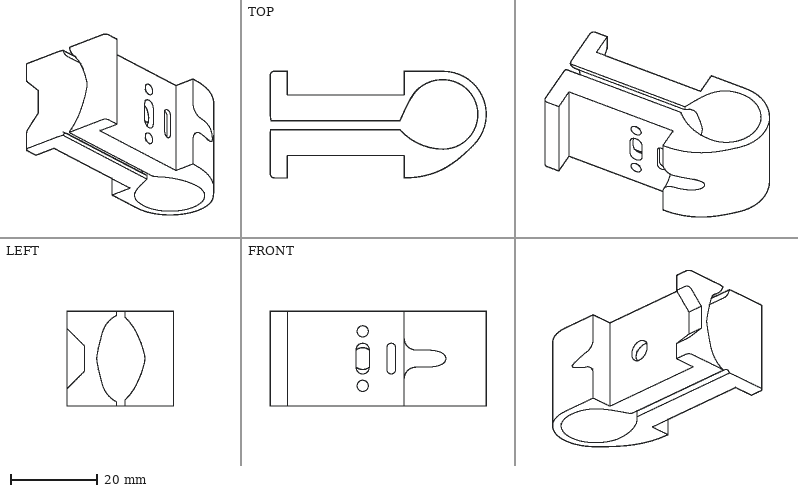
import cadquery as cq
import math

LENGTH = 50.0
HEIGHT = 22.0
HALF_WIDTH_BACK = 12.5
HALF_WIDTH_FRONT = 12.2
SLIT_WIDTH = 2.0

ARM_HALF_WIDTH = 7.0
FLANGE_THICKNESS = 4.0
FLANGE_FILLET = 1.0

EYE_START_X = 31.0
EYE_RADIUS = 10.0
EYE_WALL = 2.0
EYE_HOLE_RADIUS = EYE_RADIUS - EYE_WALL
EYE_X = LENGTH - EYE_RADIUS
EYE_Y = HALF_WIDTH_BACK - EYE_RADIUS
EYE_MOUTH_X = 30.0
EYE_MOUTH_SLOPE = 2.1
EYE_BARREL_DEPTH = 0.4
EYE_BARREL_HALF_HEIGHT = 10.0

BORE_HALF_WIDTH = 5.65
BORE_HALF_HEIGHT = 10.4
BORE_SIDE_Z = 3.0
BORE_SIDE_Y_BACK = 5.07
BORE_SIDE_Y_FRONT = 4.85
BORE_SHOULDER_Z = 6.0
BORE_SHOULDER_Y_BACK = 4.3
BORE_SHOULDER_Y_FRONT = 3.6
BORE_TIP_FILLET = 4.0
BORE_FLARE = 1.7

GROOVE_RADIUS = 2.0
GROOVE_FLOOR_Y = 9.8
GROOVE_AXIS_Y = GROOVE_FLOOR_Y + GROOVE_RADIUS
GROOVE_FLARE = 2.7

NOTCH_FLOOR_Y = 8.4
NOTCH_FLOOR_HALF_HEIGHT = 2.9

WINDOW_X = 21.4
WINDOW_WIDTH = 3.05
WINDOW_HEIGHT = 7.1
PIN_HOLE_DIAMETER = 2.6
PIN_HOLE_Z = 6.3
PIN_HOLE_DEPTH = 2.0
SHORT_SLOT_X = 28.0
SHORT_SLOT_WIDTH = 2.0
SHORT_SLOT_DEPTH = 1.0
BACK_HOLE_DIAMETER = 5.0


def extrude_full_height(profile):
    return profile.extrude(HEIGHT).translate((0, 0, -HEIGHT / 2))


def box_between(x0, x1, y0, y1, z0, z1):
    box = cq.Workplane("XY").box(x1 - x0, y1 - y0, z1 - z0, centered=False)
    return box.translate((x0, y0, z0))


def make_body():
    """Flange, arms and eye as one outline, with the outer flange edges rounded."""
    diagonal = math.sqrt(0.5)
    blend_x = EYE_X + EYE_RADIUS * diagonal
    blend_y = EYE_Y - EYE_RADIUS * diagonal
    outline = (
        cq.Workplane("XY")
        .moveTo(0, -HALF_WIDTH_FRONT)
        .lineTo(FLANGE_THICKNESS, -HALF_WIDTH_FRONT)
        .lineTo(FLANGE_THICKNESS, -ARM_HALF_WIDTH)
        .lineTo(EYE_START_X, -ARM_HALF_WIDTH)
        .lineTo(EYE_START_X, -HALF_WIDTH_FRONT)
        .spline([(blend_x, blend_y)], tangents=[(1, 0), (1, 1)], includeCurrent=True)
        .threePointArc((LENGTH, EYE_Y), (EYE_X, HALF_WIDTH_BACK))
        .lineTo(EYE_START_X, HALF_WIDTH_BACK)
        .lineTo(EYE_START_X, ARM_HALF_WIDTH)
        .lineTo(FLANGE_THICKNESS, ARM_HALF_WIDTH)
        .lineTo(FLANGE_THICKNESS, HALF_WIDTH_BACK)
        .lineTo(0, HALF_WIDTH_BACK)
        .close()
    )
    body = extrude_full_height(outline)
    return body.edges("|Z and <X").fillet(FLANGE_FILLET)


def make_eye_hole():
    """Drop-shaped hole through the eye, narrowing to the slit at its mouth."""
    half_slit = SLIT_WIDTH / 2
    top_y = EYE_Y + EYE_HOLE_RADIUS
    bottom_y = EYE_Y - EYE_HOLE_RADIUS
    run = EYE_X - EYE_MOUTH_X
    drop = -half_slit - bottom_y
    front_radius = (run**2 + drop**2) / (2 * drop)
    half_turn = math.asin(run / front_radius) / 2
    front_mid = (
        EYE_X - front_radius * math.sin(half_turn),
        bottom_y + front_radius * (1 - math.cos(half_turn)),
    )
    outline = (
        cq.Workplane("XY")
        .moveTo(EYE_MOUTH_X, -half_slit)
        .threePointArc(front_mid, (EYE_X, bottom_y))
        .threePointArc((EYE_X + EYE_HOLE_RADIUS, EYE_Y), (EYE_X, top_y))
        .spline(
            [(EYE_MOUTH_X, half_slit)],
            tangents=[(-1, 0), (-1, -EYE_MOUTH_SLOPE)],
            includeCurrent=True,
        )
        .close()
    )
    return extrude_full_height(outline)


def make_eye_barrel():
    """Shallow barrel-shaped relief inside the eye, leaving a narrow band at each rim."""
    section = (
        cq.Workplane("XZ")
        .moveTo(0, -EYE_BARREL_HALF_HEIGHT)
        .lineTo(EYE_HOLE_RADIUS, -EYE_BARREL_HALF_HEIGHT)
        .threePointArc(
            (EYE_HOLE_RADIUS + EYE_BARREL_DEPTH, 0),
            (EYE_HOLE_RADIUS, EYE_BARREL_HALF_HEIGHT),
        )
        .lineTo(0, EYE_BARREL_HALF_HEIGHT)
        .close()
    )
    return section.revolve(360, (0, 0, 0), (0, 1, 0)).translate((EYE_X, EYE_Y, 0))


def make_slit():
    half_slit = SLIT_WIDTH / 2
    return box_between(0, EYE_MOUTH_X, -half_slit, half_slit, -HEIGHT / 2, HEIGHT / 2)


def make_bore_quarter(side_y, shoulder_y):
    """Upper +Y quarter of the bore, from the flange face to the centre of the eye."""
    return (
        cq.Workplane("YZ")
        .moveTo(BORE_HALF_WIDTH, 0)
        .threePointArc((side_y, BORE_SIDE_Z), (shoulder_y, BORE_SHOULDER_Z))
        .tangentArcPoint((0, BORE_HALF_HEIGHT), relative=False)
        .lineTo(0, 0)
        .close()
        .extrude(EYE_X)
    )


def make_bore(side_y, shoulder_y):
    """Symmetric pointed-oval bore into the eye, rounded outwards at the flange face."""
    quarter = make_bore_quarter(side_y, shoulder_y)
    upper_half = quarter.union(quarter.mirror("XZ"))
    bore = upper_half.union(upper_half.mirror("XY"))
    block_size = HEIGHT * 2
    block = cq.Workplane("XY").box(EYE_X, block_size, block_size, centered=(False, True, True))
    reach = HEIGHT / 2
    margin = SLIT_WIDTH / 2
    mouth_edges = cq.selectors.BoxSelector(
        (-margin, -reach, -reach), (margin, reach, reach), boundingbox=True
    )
    side_creases = cq.selectors.BoxSelector((0, -reach, -margin), (EYE_X, reach, margin))
    sleeve = block.cut(bore).edges(mouth_edges).fillet(BORE_FLARE)
    sleeve = sleeve.edges("|X").edges(side_creases).fillet(BORE_TIP_FILLET)
    return block.cut(sleeve)


def make_combined_bore():
    """Bore whose +Y and -Y halves come from two slightly different ovals."""
    back_space = box_between(0, EYE_X, 0, HEIGHT, -HEIGHT, HEIGHT)
    back = make_bore(BORE_SIDE_Y_BACK, BORE_SHOULDER_Y_BACK).intersect(back_space)
    front = make_bore(BORE_SIDE_Y_FRONT, BORE_SHOULDER_Y_FRONT).cut(back_space)
    return back.union(front)


def make_groove(side, end_x, end_radius):
    """Round groove along one side of the eye, flared at its start.

    side is +1 for the back and -1 for the front; an end_radius of 0 tapers it to a point.
    """
    axis_y = side * GROOVE_AXIS_Y
    mouth_radius = GROOVE_RADIUS + GROOVE_FLARE
    throat_x = EYE_START_X + GROOVE_FLARE
    diagonal = GROOVE_FLARE * math.sqrt(0.5)
    half_section = (
        cq.Workplane("XY")
        .moveTo(EYE_START_X, 0)
        .lineTo(EYE_START_X, mouth_radius)
        .threePointArc((throat_x - diagonal, mouth_radius - diagonal), (throat_x, GROOVE_RADIUS))
        .lineTo(end_x, end_radius)
    )
    if end_radius > 0:
        half_section = half_section.lineTo(end_x, 0)
    groove = half_section.close().revolve(360, (0, 0, 0), (1, 0, 0))
    return groove.translate((0, axis_y, 0))


def make_notch():
    """Trapezoidal notch through the back flange, with 45 degree flanks."""
    mouth_half_height = NOTCH_FLOOR_HALF_HEIGHT + HALF_WIDTH_BACK - NOTCH_FLOOR_Y
    return (
        cq.Workplane("YZ")
        .moveTo(NOTCH_FLOOR_Y, -NOTCH_FLOOR_HALF_HEIGHT)
        .lineTo(HALF_WIDTH_BACK, -mouth_half_height)
        .lineTo(HALF_WIDTH_BACK, mouth_half_height)
        .lineTo(NOTCH_FLOOR_Y, NOTCH_FLOOR_HALF_HEIGHT)
        .close()
        .extrude(FLANGE_THICKNESS)
    )


def make_arm_openings():
    """Window, pin holes and short slot of the front arm, and the hole in the back arm."""
    front_face = cq.Workplane("XZ", origin=(0, -ARM_HALF_WIDTH, 0))
    middle = cq.Workplane("XZ")
    window = middle.center(WINDOW_X, 0).slot2D(WINDOW_HEIGHT, WINDOW_WIDTH, 90).extrude(ARM_HALF_WIDTH)
    short_slot = (
        front_face.center(SHORT_SLOT_X, 0)
        .slot2D(WINDOW_HEIGHT, SHORT_SLOT_WIDTH, 90)
        .extrude(-SHORT_SLOT_DEPTH)
    )
    pin_holes = (
        front_face.pushPoints([(WINDOW_X, PIN_HOLE_Z), (WINDOW_X, -PIN_HOLE_Z)])
        .circle(PIN_HOLE_DIAMETER / 2)
        .extrude(-PIN_HOLE_DEPTH)
    )
    back_hole = middle.center(WINDOW_X, 0).circle(BACK_HOLE_DIAMETER / 2).extrude(-ARM_HALF_WIDTH)
    return [window, short_slot, pin_holes, back_hole]


result = make_body()
cutters = [
    make_eye_hole(),
    make_eye_barrel(),
    make_slit(),
    make_combined_bore(),
    make_groove(1, EYE_X, 0),
    make_groove(-1, LENGTH, GROOVE_RADIUS),
    make_notch(),
]
for cutter in cutters + make_arm_openings():
    result = result.cut(cutter)